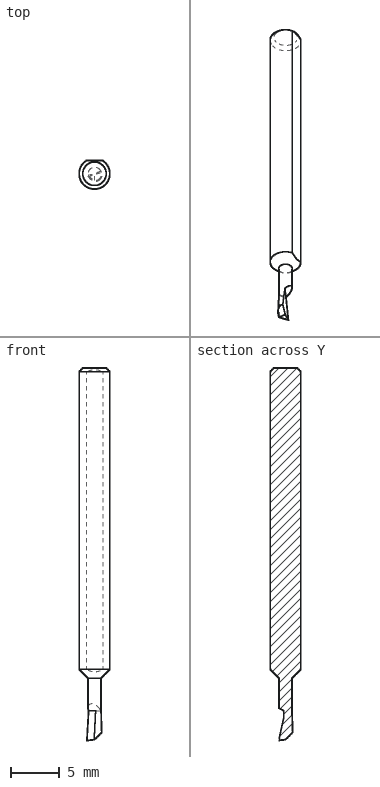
import cadquery as cq
import math

total_length = 38.1
shank_radius = 1.58
flat_y = 1.353
top_chamfer = 0.4

neck_radius = 0.7
cone_bottom_z = 6.4
cone_top_z = cone_bottom_z + shank_radius - neck_radius

tip_length = 3.1
end_radius = 0.8
neck_corners = (207, 280, 387)
end_corners = (189.5, 267, 365.5)
end_rise = 0.1
flute_runout = 0.72


def polar_point(radius, degrees):
    angle = math.radians(degrees)
    return radius * math.cos(angle), radius * math.sin(angle)


def tip_section(plane, radius, corners):
    """Draw the flat relief, the round back and the flat flute face."""
    cutting, relief, back = corners
    return (
        plane.moveTo(*polar_point(radius, cutting))
        .lineTo(*polar_point(radius, relief))
        .threePointArc(
            polar_point(radius, (relief + back) / 2),
            polar_point(radius, back),
        )
        .close()
    )


def make_shank_and_neck():
    profile = [
        (0, tip_length),
        (neck_radius, tip_length),
        (neck_radius, cone_bottom_z),
        (shank_radius, cone_top_z),
        (shank_radius, total_length - top_chamfer),
        (shank_radius - top_chamfer, total_length),
        (0, total_length),
    ]
    body = cq.Workplane("XZ").polyline(profile).close().revolve(360, (0, 0), (0, 1))
    back_flat = cq.Workplane("XY").box(
        2 * shank_radius, shank_radius, total_length, centered=(True, False, False)
    ).translate((0, flat_y, 0))
    return body.cut(back_flat)


def make_runout():
    """Wedge that ends the flute with a ramp up into the neck."""
    chord_x, chord_y = polar_point(1, neck_corners[2])
    ramp_plane = cq.Plane(
        origin=(0, 0, tip_length),
        xDir=(-chord_y, chord_x, 0),
        normal=(chord_x, chord_y, 0),
    )
    ramp = [(0, 0), (neck_radius, flute_runout), (neck_radius, 0)]
    return cq.Workplane(ramp_plane).polyline(ramp).close().extrude(neck_radius, both=True)


def make_tip():
    lower = tip_section(cq.Workplane("XY"), end_radius, end_corners)
    blank = tip_section(
        lower.workplane(offset=tip_length), neck_radius, neck_corners
    ).loft(ruled=True, combine=True)
    cutting_x = polar_point(end_radius, end_corners[0])[0]
    end_outline = [
        (cutting_x, 0),
        (0, end_rise),
        (end_radius, end_rise + end_radius),
        (end_radius, 0),
    ]
    end_cut = cq.Workplane("XZ").polyline(end_outline).close().extrude(shank_radius, both=True)
    return blank.cut(end_cut)


result = make_shank_and_neck().cut(make_runout()).union(make_tip())